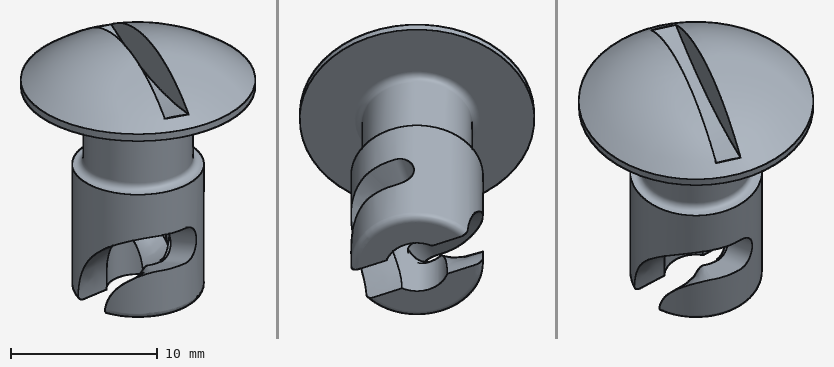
import cadquery as cq
import math

head_radius = 8.0
rim_bottom = 15.6
rim_top = 16.14
head_top = 18.873
neck_radius = 3.75
barrel_radius = 4.5
barrel_top = 9.63
edge_radius = 0.5

driver_slot_width = 1.75
driver_slot_length = 14.17
driver_slot_end_z = 16.73
driver_slot_floor_radius = 37.5

bore_radius = 2.15

cam_width = 2.7
cam_height = 4.98
cam_end_angle = -23.5
cam_bend_start_angle = 4.0
cam_exit_angle = 70.0
cam_tilt = 17.5
spline_steps = 12
exit_overrun = 7.5

cutter_inner = -0.15
cutter_outer = 1.3

UPPER = 1
LOWER = -1

half_cam_width = cam_width / 2
cam_drop = (barrel_radius - bore_radius) * math.tan(math.radians(cam_tilt))
bore_depth = cam_height + half_cam_width


def make_turned_body():
    dome_rise = head_top - rim_top
    dome_radius = (head_radius**2 + dome_rise**2) / (2 * dome_rise)
    dome_mid = head_radius / 2
    dome_mid_z = head_top - dome_radius + math.sqrt(dome_radius**2 - dome_mid**2)
    fillet_outer = neck_radius + edge_radius
    profile = (
        cq.Workplane("XZ")
        .lineTo(barrel_radius - edge_radius, 0)
        .radiusArc((barrel_radius, edge_radius), -edge_radius)
        .lineTo(barrel_radius, barrel_top)
        .lineTo(fillet_outer, barrel_top)
        .radiusArc((neck_radius, barrel_top + edge_radius), edge_radius)
        .lineTo(neck_radius, rim_bottom - edge_radius)
        .radiusArc((fillet_outer, rim_bottom), edge_radius)
        .lineTo(head_radius, rim_bottom)
        .lineTo(head_radius, rim_top)
        .threePointArc((dome_mid, dome_mid_z), (0, head_top))
        .close()
    )
    return profile.revolve(360, (0, 0, 0), (0, 1, 0))


def make_driver_slot():
    half_length = driver_slot_length / 2
    floor_sag = driver_slot_floor_radius - math.sqrt(driver_slot_floor_radius**2 - half_length**2)
    return (
        cq.Workplane("XZ")
        .moveTo(-half_length, driver_slot_end_z)
        .threePointArc((0, driver_slot_end_z - floor_sag), (half_length, driver_slot_end_z))
        .lineTo(half_length, head_top)
        .lineTo(-half_length, head_top)
        .close()
        .extrude(driver_slot_width / 2, both=True)
    )


def make_bore():
    return cq.Workplane("XY").circle(bore_radius).extrude(bore_depth)


def cam_edge_point(side, radius, drop, bend, along):
    """Point on a cam slot edge at one radius.

    The edge is a quarter ellipse wrapped around Z: bend runs from 0 at its top to 90 at the bottom
    of the barrel. At bend 0, along moves from the bend (0) to the closed end (1).
    """
    spread = side * math.degrees(math.asin(half_cam_width / radius))
    sweep = cam_exit_angle + spread - cam_bend_start_angle
    straight = cam_bend_start_angle - cam_end_angle
    bend = math.radians(bend)
    angle = math.radians(cam_bend_start_angle + sweep * math.sin(bend) - straight * along)
    z = (cam_height + side * half_cam_width - drop) * math.cos(bend)
    return cq.Vector(radius * math.cos(angle), -radius * math.sin(angle), z)


def cam_wall_point(side, depth, bend=0, along=0):
    """Point on a cam slot wall: depth is 0 at the bore and 1 at the barrel surface."""
    inner = cam_edge_point(side, bore_radius, cam_drop, bend, along)
    outer = cam_edge_point(side, barrel_radius, 0, bend, along)
    return inner + (outer - inner) * depth


def bend_edge(side, depth):
    last_bend = 90 + exit_overrun
    bends = [last_bend * step / spline_steps for step in range(spline_steps + 1)]
    return cq.Edge.makeSpline([cam_wall_point(side, depth, bend=bend) for bend in bends])


def straight_edge(side, depth):
    return cq.Edge.makeThreePointArc(*[cam_wall_point(side, depth, along=along) for along in (0, 0.5, 1)])


def ruled_block(make_edge):
    """Solid with four long edges, given by make_edge(side, depth), and ruled faces between them."""
    edges = [
        make_edge(UPPER, cutter_inner),
        make_edge(UPPER, cutter_outer),
        make_edge(LOWER, cutter_outer),
        make_edge(LOWER, cutter_inner),
    ]
    faces = [cq.Face.makeRuledSurface(edges[i - 1], edges[i]) for i in range(len(edges))]
    for end in (0, 1):
        upper_in, upper_out, lower_out, lower_in = [edge.positionAt(end) for edge in edges]
        upper_line = cq.Edge.makeLine(upper_in, upper_out)
        lower_line = cq.Edge.makeLine(lower_in, lower_out)
        faces.append(cq.Face.makeRuledSurface(upper_line, lower_line))
    return cq.Solid.makeSolid(cq.Shell.makeShell(faces)).fix()


def make_round_end():
    """Tilted cylinder that rounds the closed end of a cam slot."""
    inner, outer = [
        (cam_wall_point(UPPER, depth, along=1) + cam_wall_point(LOWER, depth, along=1)) * 0.5
        for depth in (cutter_inner, cutter_outer)
    ]
    axis = outer - inner
    end_radius = half_cam_width * math.cos(math.radians(cam_tilt))
    return cq.Solid.makeCylinder(end_radius, axis.Length, inner, axis)


def cut_cam_slots(body):
    """Cut the two cam slots, half a turn apart."""
    cutters = [ruled_block(bend_edge), ruled_block(straight_edge), make_round_end()]
    for turn in (0, 180):
        for cutter in cutters:
            body = body.cut(cq.Workplane(obj=cutter).rotate((0, 0, 0), (0, 0, 1), turn))
    return body


body = make_turned_body().cut(make_driver_slot()).cut(make_bore())
result = cut_cam_slots(body)